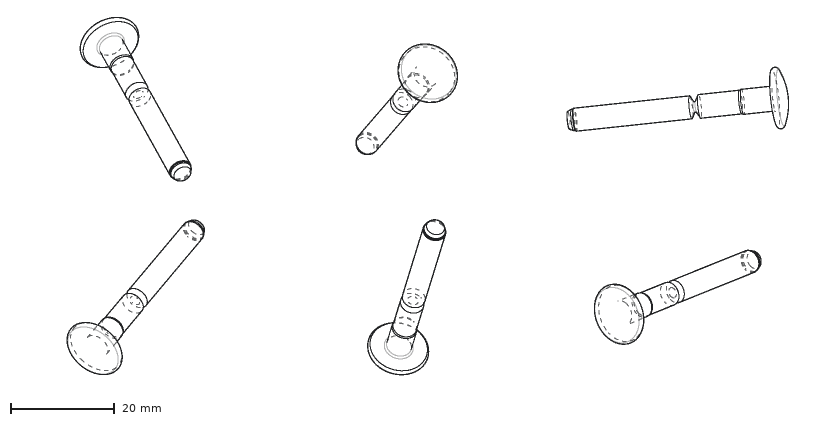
import cadquery as cq
import math

length = 42.9

head_radius = 5.95
head_thickness = 2.55
dome_edge_x = 1.25
dome_edge_radius = 5.55
rim_crest_x = 1.75
rim_back_radius = 5.6

shank_radius = 2.45
shank_end_x = 8.85
neck_fillet = 0.4
step_taper_length = 0.4

front_pin_radius = 2.3
rear_pin_radius = 2.252
groove_start_x = 17.25
groove_floor_start_x = 17.95
groove_floor_end_x = 18.3
groove_end_x = 18.95
groove_floor_radius = 1.05
groove_floor_edge_radius = 1.1

tail_radius = 2.1
tail_shoulder_x = 41.6
tail_shoulder_length = 0.15
tail_chamfer_x = 42.1
tail_end_radius = 1.75

dome_radius = (dome_edge_radius**2 + dome_edge_x**2) / (2 * dome_edge_x)
dome_mid_angle = math.asin(dome_edge_radius / dome_radius) / 2
dome_mid = (
    dome_radius * (1 - math.cos(dome_mid_angle)),
    dome_radius * math.sin(dome_mid_angle),
)

fillet_mid_offset = neck_fillet * (1 - math.sqrt(0.5))
fillet_mid = (head_thickness + fillet_mid_offset, shank_radius + fillet_mid_offset)

groove_floor_mid = ((groove_floor_start_x + groove_floor_end_x) / 2, groove_floor_radius)

profile = (
    cq.Workplane("XY")
    .moveTo(0, 0)
    .threePointArc(dome_mid, (dome_edge_x, dome_edge_radius))
    .threePointArc((rim_crest_x, head_radius), (head_thickness, rim_back_radius))
    .lineTo(head_thickness, shank_radius + neck_fillet)
    .threePointArc(fillet_mid, (head_thickness + neck_fillet, shank_radius))
    .lineTo(shank_end_x, shank_radius)
    .lineTo(shank_end_x + step_taper_length, front_pin_radius)
    .lineTo(groove_start_x, front_pin_radius)
    .lineTo(groove_floor_start_x, groove_floor_edge_radius)
    .threePointArc(groove_floor_mid, (groove_floor_end_x, groove_floor_edge_radius))
    .lineTo(groove_end_x, rear_pin_radius)
    .lineTo(tail_shoulder_x, rear_pin_radius)
    .lineTo(tail_shoulder_x + tail_shoulder_length, tail_radius)
    .lineTo(tail_chamfer_x, tail_radius)
    .lineTo(length, tail_end_radius)
    .lineTo(length, 0)
    .close()
)

result = profile.revolve(360, (0, 0, 0), (1, 0, 0))